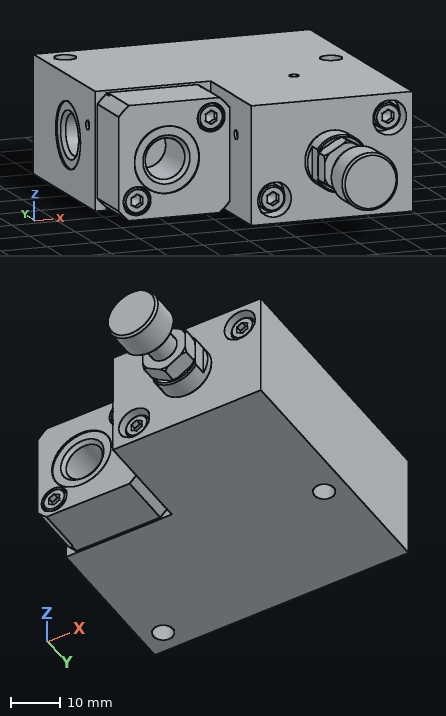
import cadquery as cq
import math


overall_length = 79.5

body_width = 60.0
body_depth = 34.8
height = 25.0
mid_z = height / 2
mounting_hole_diameter = 4.5
mounting_hole_inset = 5.0
right_mounting_hole_y = 10.0

valve_width = 35.0
valve_depth = 23.0
valve_left = body_width - valve_width
valve_mid_x = valve_left + valve_width / 2
valve_front_y = -valve_depth

flange_side = 24.0
flange_depth = 12.0
flange_corner_diameter = 31.0
flange_mid_x = valve_left / 2
flange_front_y = -flange_depth
lug_x = 2.4
lug_size = 0.95
lug_depth = 1.7

port_spotface_diameter = 14.0
port_spotface_depth = 0.3
port_mouth_diameter = 10.2
port_bore_diameter = 8.6
port_depth = 11.9
flange_port_x = 11.0
side_port_y = 15.2

head_diameter = 5.5
head_chamfer = 0.3
head_height = 3.0
socket_flats = 2.5
socket_depth = 1.3
socket_cone_depth = 0.8
valve_screw_pocket_diameter = 7.2
valve_screw_sink = 0.95
valve_screw_offset_x = 12.5
valve_screw_offset_z = 7.5
flange_screw_pocket_diameter = 6.0
flange_screw_sink = 0.0
flange_screw_offset = 8.0

plug_diameter = 1.9
plug_sink = 0.2
plug_dome_height = 0.7
plug_z = 17.0
body_plug_y = 4.2
valve_plug_y = -14.3
top_hole_diameter = 2.0
top_hole_y = -1.5
top_hole_depth = 0.5

collar_diameter = 12.0
collar_length = 5.0
collar_chamfer = 0.3
collar_flats = 9.9
nut_flats = 10.0
flats_start = 1.8
nut_length = 4.0
nut_chamfer = 0.5
stem_diameter = 6.1
knob_diameter = 12.0
knob_chamfer = 0.5
knob_start = 14.7
adjuster_length = overall_length - body_depth - valve_depth


def block(x, y, z, width, depth, tall):
    """Box given by its lowest corner and its sizes."""
    return cq.Workplane("XY").box(width, depth, tall, centered=False).translate((x, y, z))


def rod(x, y, z, diameter, length):
    """Round bar that starts at y and runs towards +Y."""
    return cq.Workplane("XZ", origin=(x, y, z)).circle(diameter / 2).extrude(-length)


def hexagon(x, y, z, flats, length):
    """Hexagonal bar with upward corners that starts at y and runs towards +Y."""
    corners = flats / math.cos(math.pi / 6)
    bar = cq.Workplane("XZ").polygon(6, corners).extrude(-length)
    return bar.rotate((0, 0, 0), (0, 1, 0), 30).translate((x, y, z))


def cone(y, diameter, depth):
    """Cone on the Y axis with its base at y and its tip towards +Y."""
    profile = cq.Workplane("XY").moveTo(0, y).lineTo(diameter / 2, y).lineTo(0, y + depth).close()
    return profile.revolve(360, (0, 0, 0), (0, 1, 0))


def port():
    """Cutter for a spotfaced, countersunk blind port going into +Y."""
    lead_in = (port_mouth_diameter - port_bore_diameter) / 2
    bore_start = port_spotface_depth + lead_in
    outline = [
        (0, 0),
        (port_spotface_diameter / 2, 0),
        (port_spotface_diameter / 2, port_spotface_depth),
        (port_mouth_diameter / 2, port_spotface_depth),
        (port_bore_diameter / 2, bore_start),
        (port_bore_diameter / 2, port_depth),
        (0, port_depth),
    ]
    return cq.Workplane("XY").polyline(outline).close().revolve(360, (0, 0, 0), (0, 1, 0))


def add_screw(part, x, y, z, pocket_diameter, sink):
    """Sink a socket head screw into the face at y."""
    pocket = rod(x, y, z, pocket_diameter, sink + head_height)
    head = rod(x, y + sink, z, head_diameter, head_height).faces("<Y").chamfer(head_chamfer)
    corners = socket_flats / math.cos(math.pi / 6)
    socket = hexagon(0, 0, 0, socket_flats, socket_depth + socket_cone_depth)
    drill = rod(0, 0, 0, corners, socket_depth).union(cone(socket_depth, corners, socket_cone_depth))
    socket = socket.intersect(drill).translate((x, y + sink, z))
    return part.cut(pocket).union(head).cut(socket)


def plug_hole():
    """Cutter going into +X that leaves the domed top of a ball plug at the bottom of its hole."""
    radius = plug_diameter / 2
    dome_radius = (radius**2 + plug_dome_height**2) / (2 * plug_dome_height)
    profile = (
        cq.Workplane("XY")
        .lineTo(0, radius)
        .lineTo(plug_sink + plug_dome_height, radius)
        .radiusArc((plug_sink, 0), -dome_radius)
        .close()
    )
    return profile.revolve(360, (0, 0, 0), (1, 0, 0))


def flange():
    """Square flange whose corners are turned to a common diameter, with two small lugs."""
    low_x = flange_mid_x - flange_side / 2
    low_z = mid_z - flange_side / 2
    square = block(low_x, flange_front_y, low_z, flange_side, flange_depth, flange_side)
    turned = square.intersect(rod(flange_mid_x, flange_front_y, mid_z, flange_corner_diameter, flange_depth))
    for lug_z in (low_z, low_z + flange_side - lug_size):
        turned = turned.union(block(lug_x, -lug_depth, lug_z, lug_size, lug_depth, lug_size))
    return turned


def adjuster():
    """Adjusting screw that sticks out of the valve block, ending in a round knob."""
    def from_face(start, length, diameter):
        return rod(valve_mid_x, valve_front_y - start - length, mid_z, diameter, length)

    collar = from_face(0, collar_length, collar_diameter).faces("|Y").chamfer(collar_chamfer)
    flats = block(
        valve_mid_x - collar_flats / 2,
        valve_front_y - collar_length,
        mid_z - collar_diameter / 2,
        collar_flats,
        collar_length - flats_start,
        collar_diameter,
    )
    collar = collar.intersect(flats.union(from_face(0, flats_start, collar_diameter)))

    nut_end = collar_length + nut_length
    nut = hexagon(valve_mid_x, valve_front_y - nut_end, mid_z, nut_flats, nut_length)
    nut_corners = nut_flats / math.cos(math.pi / 6)
    nut_blank = from_face(collar_length, nut_length, nut_corners).faces("|Y").chamfer(nut_chamfer)
    nut = nut.intersect(nut_blank)

    stem = from_face(0, knob_start, stem_diameter)
    knob = from_face(knob_start, adjuster_length - knob_start, knob_diameter)
    knob = knob.faces("|Y").chamfer(knob_chamfer)
    return collar.union(nut).union(stem).union(knob)


result = block(0, 0, 0, body_width, body_depth, height)
result = result.union(block(valve_left, valve_front_y, 0, valve_width, valve_depth, height))
result = result.union(flange())

mounting_holes = [
    (mounting_hole_inset, body_depth - mounting_hole_inset),
    (body_width - mounting_hole_inset, right_mounting_hole_y),
]
for hole_x, hole_y in mounting_holes:
    hole = cq.Workplane("XY").circle(mounting_hole_diameter / 2).extrude(height)
    result = result.cut(hole.translate((hole_x, hole_y, 0)))

result = result.cut(port().translate((flange_port_x, flange_front_y, mid_z)))
side_port = port().rotate((0, 0, 0), (0, 0, 1), -90)
result = result.cut(side_port.translate((0, side_port_y, mid_z)))

for side in (-1, 1):
    result = add_screw(
        result,
        valve_mid_x + side * valve_screw_offset_x,
        valve_front_y,
        mid_z + side * valve_screw_offset_z,
        valve_screw_pocket_diameter,
        valve_screw_sink,
    )
    result = add_screw(
        result,
        flange_mid_x + side * flange_screw_offset,
        flange_front_y,
        mid_z + side * flange_screw_offset,
        flange_screw_pocket_diameter,
        flange_screw_sink,
    )

for plug_x, plug_y in ((0, body_plug_y), (valve_left, valve_plug_y)):
    result = result.cut(plug_hole().translate((plug_x, plug_y, plug_z)))

top_hole = cq.Workplane("XY").circle(top_hole_diameter / 2).extrude(top_hole_depth)
result = result.cut(top_hole.translate((valve_mid_x, top_hole_y, height - top_hole_depth)))

result = result.union(adjuster())